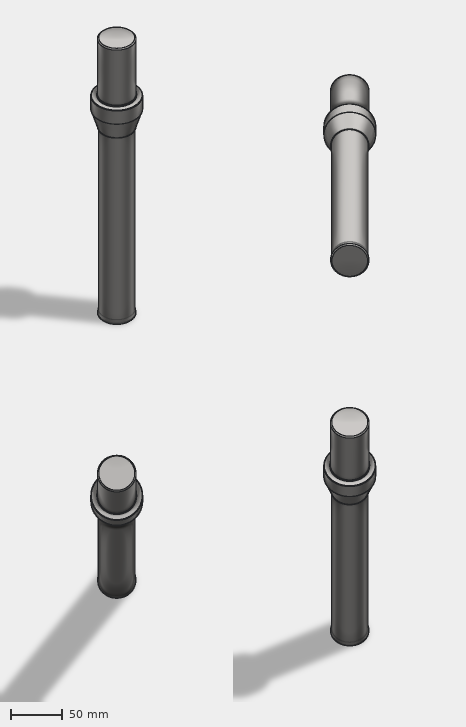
import cadquery as cq

TOTAL_HEIGHT = 334.0
COLLAR_TOP = 264.5
COLLAR_HEIGHT = 16.7
CONE_HEIGHT = 20.7
CONE_TOP = COLLAR_TOP - COLLAR_HEIGHT
CONE_BOTTOM = CONE_TOP - CONE_HEIGHT

BEAD_RADIUS = 18.7
BEAD_CHAMFER = 1.5
BEAD_TOP = 2.7
FLARE_TOP = 6.5

TUBE_RADIUS = 18.0
COLLAR_RADIUS = 25.5
COLLAR_CHAMFER = 0.7
CONE_TOP_RADIUS = 25.0
CONE_BOTTOM_RADIUS = 18.7
CONE_LAND = 1.0

ROD_DIAMETER = 37.7
ROD_RADIUS = ROD_DIAMETER / 2
ROD_CHAMFER = 1.5
SOCKET_FLOOR = CONE_TOP

LIP_THICKNESS = 0.7
LIP_HEIGHT = 1.7
LIP_CHAMFER = 0.5
LIP_RADIUS = ROD_RADIUS + LIP_THICKNESS
LIP_TOP = COLLAR_TOP + LIP_HEIGHT


def make_sleeve():
    """Revolve the tube with its foot bead, cone, collar, lip and rod socket."""
    profile = [
        (0, 0),
        (BEAD_RADIUS - BEAD_CHAMFER, 0),
        (BEAD_RADIUS, BEAD_CHAMFER),
        (BEAD_RADIUS, BEAD_TOP),
        (TUBE_RADIUS, FLARE_TOP),
        (TUBE_RADIUS, CONE_BOTTOM - CONE_LAND),
        (CONE_BOTTOM_RADIUS, CONE_BOTTOM - CONE_LAND),
        (CONE_BOTTOM_RADIUS, CONE_BOTTOM),
        (CONE_TOP_RADIUS, CONE_TOP),
        (COLLAR_RADIUS, CONE_TOP),
        (COLLAR_RADIUS, COLLAR_TOP - COLLAR_CHAMFER),
        (COLLAR_RADIUS - COLLAR_CHAMFER, COLLAR_TOP),
        (LIP_RADIUS, COLLAR_TOP),
        (LIP_RADIUS, LIP_TOP - LIP_CHAMFER),
        (LIP_RADIUS - LIP_CHAMFER, LIP_TOP),
        (ROD_RADIUS, LIP_TOP),
        (ROD_RADIUS, SOCKET_FLOOR),
        (0, SOCKET_FLOOR),
    ]
    return cq.Workplane("XZ").polyline(profile).close().revolve(360, (0, 0), (0, 1))


def make_rod():
    """Round rod resting on the socket floor, with a chamfered top."""
    rod = cq.Workplane("XY", origin=(0, 0, SOCKET_FLOOR)).circle(ROD_RADIUS)
    rod = rod.extrude(TOTAL_HEIGHT - SOCKET_FLOOR)
    return rod.faces(">Z").chamfer(ROD_CHAMFER)


sleeve = make_sleeve()
rod = make_rod()
result = cq.Compound.makeCompound([sleeve.val(), rod.val()])